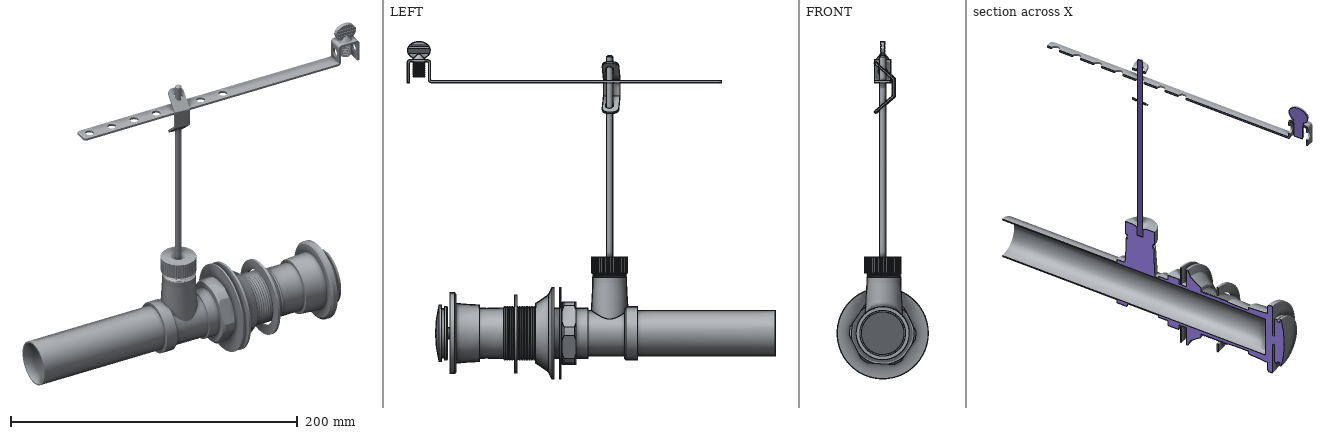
import cadquery as cq
import math


outlet_y = -115.5
outlet_radius = 16.0
bore_radius = 15.0
bore_end_y = 105.2
collar_radius = 18.5
collar_edge = 1.0
collar_start_y = -19.5
collar_end_y = -10.3
tube_radius = 17.5
tube_start_y = 15.1

nut_start_y = 23.4
nut_end_y = 33.0
nut_apothem = 21.3
nut_corner_radius = 23.0
nut_chamfer = 1.3
nut_turn = 3.5

washer_start_y = 34.0
washer_end_y = 35.0
seal_radius = 31.8
seal_start_y = 38.8
seal_rim_y = 40.3
seal_flare_y = 42.5
seal_flare_radius = 27.0
seal_end_y = 51.5
seal_end_radius = 20.8

thread_root = 17.7
thread_crest = 18.7
thread_end_y = 74.0
thread_pitch = 1.7

taper_start_y = 91.0
taper_end_y = 106.3
taper_start_radius = 19.8
taper_end_radius = 20.8
flange_radius = 28.2
flange_back_radius = 26.7
flange_back_y = 107.0
flange_rim_y = 108.0
flange_front_y = 111.5

stopper_stem_radius = 3.9
stopper_back_y = 113.0
stopper_lip_radius = 18.7
stopper_lip_chamfer = 0.8
stopper_groove_y = 115.3
stopper_groove_radius = 17.2
stopper_disc_y = 117.3
stopper_disc_radius = 19.8
stopper_rim_y = 118.9
stopper_tip_y = 121.5

port_x = 0.8
port_taper_bottom_z = 7.7
port_taper_top_z = 35.0
port_thread_z = 39.0
port_bottom_radius = 13.3
port_top_radius = 11.8
port_thread_root = 10.8
cap_bottom_z = 42.0
cap_top_z = 53.1
cap_radius = 12.5
knurl_depth = 0.39
knurl_teeth = 48
cap_recess_radius = 5.5
cap_recess_depth = 1.5

ring_start_y = 64.5
ring_end_y = 66.2
ring_radius = 27.2
ring_hole_radius = 20.3
ring_drop = 0.5

rod_radius = 2.3
rod_socket_depth = 7.7
rod_bottom_z = cap_top_z - rod_socket_depth
rod_top_z = 193.5
rod_tip_chamfer = 1.0

strap_width = 11.5
strap_thickness = 1.67
strap_bottom_z = 174.5
strap_tail_y = -78.0
strap_corner = 2.0
strap_hole_radius = 3.0
strap_hole_pitch = 17.7
strap_holes_behind_rod = 4
strap_holes_ahead_of_rod = 2
hook_front_y = 141.2
hook_back_y = 124.8
hook_top_z = 190.7
hook_outer_bend = 2.3
hook_inner_bend = hook_outer_bend - strap_thickness
hook_hole_z = 182.5

screw_y = (hook_front_y + hook_back_y) / 2
screw_radius = 4.0
screw_core_radius = 3.5
screw_bottom_z = 178.5
screw_thread_pitch = 1.4
screw_neck_radius = 4.5
screw_neck_height = 3.9
head_half_width = 8.0
head_half_height = 6.2
head_center_z = 197.1
head_thickness = 3.0
grip_groove_width = 1.0
grip_groove_depth = 0.39
grip_groove_pitch = 2.5
grip_groove_mid_z = 198.0

clip_width = 11.5
clip_thickness = 1.4
clip_leg_x = 8.5
clip_bottom_bend_z = 164.8
clip_top_bend_z = 177.6
clip_tip_x = -5.0
clip_arm_slope = 0.87
clip_tip_round = 4.0
clip_hole_radius = 2.8
clip_turn = -5.0
clip_shift_y = -0.8

def ridges(start, end, root, crest, pitch):
    """Outline points (radius, station) of a row of V ridges between two stations."""
    count = round((end - start) / pitch)
    step = (end - start) / count
    points = [(root, start)]
    for i in range(count):
        points.append((crest, start + (i + 0.5) * step))
        points.append((root, start + (i + 1) * step))
    return points

def along_y(radius, start, end):
    """Cylinder on the drain axis between two Y stations."""
    return cq.Workplane("XZ", origin=(0, start, 0)).circle(radius).extrude(start - end)

def along_z(radius, start, end, y=0.0):
    """Vertical cylinder in the X = 0 plane between two heights."""
    return cq.Workplane("XY", origin=(0, y, start)).circle(radius).extrude(end - start)

def drain_core():
    """Everything on the drain axis that is round, from the outlet to the stopper."""
    profile = (
        cq.Workplane("XY")
        .moveTo(0, outlet_y)
        .lineTo(outlet_radius, outlet_y)
        .lineTo(outlet_radius, collar_start_y)
        .lineTo(collar_radius, collar_start_y)
        .lineTo(collar_radius, collar_end_y - collar_edge)
        .lineTo(collar_radius - collar_edge, collar_end_y)
        .lineTo(outlet_radius, collar_end_y)
        .lineTo(outlet_radius, tube_start_y)
        .lineTo(tube_radius, tube_start_y)
        .lineTo(tube_radius, washer_start_y)
        .lineTo(seal_radius, washer_start_y)
        .lineTo(seal_radius, washer_end_y)
        .lineTo(tube_radius, washer_end_y)
        .lineTo(tube_radius, seal_start_y)
        .lineTo(seal_radius, seal_start_y)
        .lineTo(seal_radius, seal_rim_y)
        .lineTo(seal_flare_radius, seal_flare_y)
        .lineTo(seal_end_radius, seal_end_y)
    )
    for radius, y in ridges(seal_end_y, thread_end_y, thread_root, thread_crest, thread_pitch):
        profile = profile.lineTo(radius, y)
    dome_height = stopper_tip_y - stopper_rim_y
    dome_radius = (stopper_disc_radius**2 + dome_height**2) / (2 * dome_height)
    dome_mid_radius = stopper_disc_radius / 2
    dome_mid_y = stopper_tip_y - dome_radius + math.sqrt(dome_radius**2 - dome_mid_radius**2)
    profile = (
        profile.lineTo(tube_radius, taper_start_y)
        .lineTo(taper_start_radius, taper_start_y)
        .lineTo(taper_end_radius, taper_end_y)
        .lineTo(taper_end_radius, flange_back_y)
        .lineTo(flange_back_radius, flange_back_y)
        .lineTo(flange_radius, flange_rim_y)
        .lineTo(flange_radius, flange_front_y)
        .lineTo(stopper_stem_radius, flange_front_y)
        .lineTo(stopper_stem_radius, stopper_back_y)
        .lineTo(stopper_lip_radius - stopper_lip_chamfer, stopper_back_y)
        .lineTo(stopper_lip_radius, stopper_back_y + stopper_lip_chamfer)
        .lineTo(stopper_lip_radius, stopper_groove_y)
        .lineTo(stopper_groove_radius, stopper_groove_y)
        .lineTo(stopper_groove_radius, stopper_disc_y)
        .lineTo(stopper_disc_radius, stopper_disc_y)
        .lineTo(stopper_disc_radius, stopper_rim_y)
        .threePointArc((dome_mid_radius, dome_mid_y), (0, stopper_tip_y))
        .close()
    )
    return profile.revolve(360, (0, 0, 0), (0, 1, 0))

def hex_nut():
    """Hexagon with its corners turned down and both ends chamfered."""
    length = nut_end_y - nut_start_y
    hexagon = (
        cq.Workplane("XZ", origin=(0, nut_start_y, 0))
        .polygon(6, 2 * nut_apothem / math.cos(math.pi / 6))
        .extrude(-length)
    )
    turned = along_y(nut_corner_radius, nut_start_y, nut_end_y).edges().chamfer(nut_chamfer)
    return hexagon.intersect(turned).rotate((0, 0, 0), (0, 1, 0), nut_turn)

def rod_port():
    """Tapered branch with a short threaded neck below the cap."""
    profile = (
        cq.Workplane("XZ")
        .moveTo(0, port_taper_bottom_z)
        .lineTo(port_bottom_radius, port_taper_bottom_z)
        .lineTo(port_top_radius, port_taper_top_z)
        .lineTo(port_top_radius, port_thread_z)
    )
    for radius, z in ridges(port_thread_z, cap_bottom_z, port_thread_root, port_top_radius, thread_pitch):
        profile = profile.lineTo(radius, z)
    branch = profile.lineTo(0, cap_bottom_z).close().revolve(360, (0, 0, 0), (0, 1, 0))
    return branch.translate((port_x, 0, 0))

def knurled_cap():
    """Cap with straight knurling all round; rim and groove points alternate."""
    points = []
    for i in range(2 * knurl_teeth):
        radius = cap_radius if i % 2 == 0 else cap_radius - knurl_depth
        angle = math.pi * i / knurl_teeth
        points.append((radius * math.cos(angle), radius * math.sin(angle)))
    cap = cq.Workplane("XY", origin=(0, 0, cap_bottom_z)).polyline(points).close()
    return cap.extrude(cap_top_z - cap_bottom_z)

def rod_socket():
    """Blind hole for the rod, opening into a conical recess in the cap."""
    recess_floor = cq.Vector(0, 0, cap_top_z - cap_recess_depth)
    cone = cq.Solid.makeCone(rod_radius, cap_recess_radius, cap_recess_depth, recess_floor)
    recess = cq.Workplane(cone)
    return recess.union(along_z(rod_radius, rod_bottom_z, cap_top_z))

def make_drain():
    drain = drain_core().union(hex_nut()).union(rod_port()).union(knurled_cap())
    drain = drain.cut(along_y(bore_radius, outlet_y, bore_end_y))
    return drain.cut(rod_socket())

def make_ring():
    ring = along_y(ring_radius, ring_start_y, ring_end_y).cut(
        along_y(ring_hole_radius, ring_start_y, ring_end_y)
    )
    return ring.translate((0, 0, -ring_drop))

def make_rod():
    return along_z(rod_radius, rod_bottom_z, rod_top_z).faces(">Z").chamfer(rod_tip_chamfer)

def bent_strip():
    """Strap sheet bent into a hook at its front end, seen along X as (Y, Z)."""
    t = strap_thickness
    top = strap_bottom_z + t
    outline = [
        (strap_tail_y, strap_bottom_z),
        (hook_back_y + t, strap_bottom_z),
        (hook_back_y + t, hook_top_z - t),
        (hook_front_y - t, hook_top_z - t),
        (hook_front_y - t, strap_bottom_z),
        (hook_front_y, strap_bottom_z),
        (hook_front_y, hook_top_z),
        (hook_back_y, hook_top_z),
        (hook_back_y, top),
        (strap_tail_y, top),
    ]
    strip = (
        cq.Workplane("YZ", origin=(-strap_width / 2, 0, 0)).polyline(outline).close().extrude(strap_width)
    )
    outer_corners = [
        (hook_back_y + t, strap_bottom_z),
        (hook_front_y, hook_top_z),
        (hook_back_y, hook_top_z),
    ]
    inner_corners = [
        (hook_back_y + t, hook_top_z - t),
        (hook_front_y - t, hook_top_z - t),
        (hook_back_y, top),
    ]
    for corners, radius in ((outer_corners, hook_outer_bend), (inner_corners, hook_inner_bend)):
        for y, z in corners:
            strip = strip.edges(cq.selectors.NearestToPointSelector((0, y, z))).fillet(radius)
    return strip

def make_strap():
    strap = bent_strip().edges("|Z and <Y").fillet(strap_corner)
    for i in range(-strap_holes_behind_rod, strap_holes_ahead_of_rod + 1):
        hole_y = i * strap_hole_pitch
        hole = along_z(strap_hole_radius, strap_bottom_z, strap_bottom_z + strap_thickness, y=hole_y)
        strap = strap.cut(hole)
    leg_holes = along_y(strap_hole_radius, hook_back_y, hook_front_y).translate((0, 0, hook_hole_z))
    screw_hole = along_z(screw_radius, hook_top_z - strap_thickness, hook_top_z, y=screw_y)
    return strap.cut(leg_holes).cut(screw_hole)

def screw_shank():
    """Threaded shank, plain inside the strap, with a conical neck above it."""
    plain_z = hook_top_z - strap_thickness
    profile = cq.Workplane("XZ").moveTo(0, screw_bottom_z)
    for radius, z in ridges(screw_bottom_z, plain_z, screw_core_radius, screw_radius, screw_thread_pitch):
        profile = profile.lineTo(radius, z)
    return (
        profile.lineTo(screw_radius, plain_z)
        .lineTo(screw_radius, hook_top_z)
        .lineTo(screw_neck_radius, hook_top_z)
        .lineTo(head_thickness / 2, hook_top_z + screw_neck_height)
        .lineTo(0, hook_top_z + screw_neck_height)
        .close()
        .revolve(360, (0, 0, 0), (0, 1, 0))
    )

def screw_head():
    """Flat oval grip with level grooves on both faces."""
    head = (
        cq.Workplane("YZ", origin=(-head_thickness / 2, 0, head_center_z))
        .ellipse(head_half_width, head_half_height)
        .extrude(head_thickness)
    )
    for side in (-1, 1):
        for level in (-1, 0, 1):
            groove = cq.Workplane("XY").box(2 * grip_groove_depth, 2 * head_half_width, grip_groove_width)
            x = side * head_thickness / 2
            head = head.cut(groove.translate((x, 0, grip_groove_mid_z + level * grip_groove_pitch)))
    return head

def make_screw():
    below_strap_top = cq.Workplane("XY").box(
        2 * head_half_width, 2 * head_half_width, hook_top_z, centered=(True, True, False)
    )
    head = screw_head().cut(below_strap_top)
    return screw_shank().union(head).translate((0, screw_y, 0))

def make_clip():
    """Open V of spring strip: a leg beside the strap and two arms that the rod passes through."""
    rise = clip_arm_slope * (clip_leg_x - clip_tip_x)
    arm_stretch = math.hypot(1, clip_arm_slope)
    inner_shift = clip_thickness * (arm_stretch - clip_arm_slope)
    tip_run = clip_thickness * clip_arm_slope / arm_stretch
    tip_drop = clip_thickness / arm_stretch
    inner_x = clip_leg_x - clip_thickness
    outline = [
        (clip_leg_x, clip_bottom_bend_z),
        (clip_leg_x, clip_top_bend_z),
        (clip_tip_x, clip_top_bend_z + rise),
        (clip_tip_x - tip_run, clip_top_bend_z + rise - tip_drop),
        (inner_x, clip_top_bend_z - inner_shift),
        (inner_x, clip_bottom_bend_z + inner_shift),
        (clip_tip_x - tip_run, clip_bottom_bend_z - rise + tip_drop),
        (clip_tip_x, clip_bottom_bend_z - rise),
    ]
    clip = cq.Workplane("XZ").polyline(outline).close().extrude(clip_width / 2, both=True)
    tip_x = clip_tip_x - tip_run / 2
    tip_heights = (
        clip_bottom_bend_z - rise + tip_drop / 2,
        clip_top_bend_z + rise - tip_drop / 2,
    )
    for z in tip_heights:
        for side in (-1, 1):
            corner = (tip_x, side * clip_width / 2, z)
            clip = clip.edges(cq.selectors.NearestToPointSelector(corner)).fillet(clip_tip_round)
    clip = clip.rotate((0, 0, 0), (0, 0, 1), clip_turn).translate((0, clip_shift_y, 0))
    return clip.cut(along_z(clip_hole_radius, clip_bottom_bend_z - rise, clip_top_bend_z + rise))

drain = make_drain()
ring = make_ring()
rod = make_rod()
strap = make_strap()
screw = make_screw()
clip = make_clip()

result = cq.Compound.makeCompound(
    [
        *drain.solids().vals(),
        *ring.solids().vals(),
        *rod.solids().vals(),
        *strap.solids().vals(),
        *screw.solids().vals(),
        *clip.solids().vals(),
    ]
)